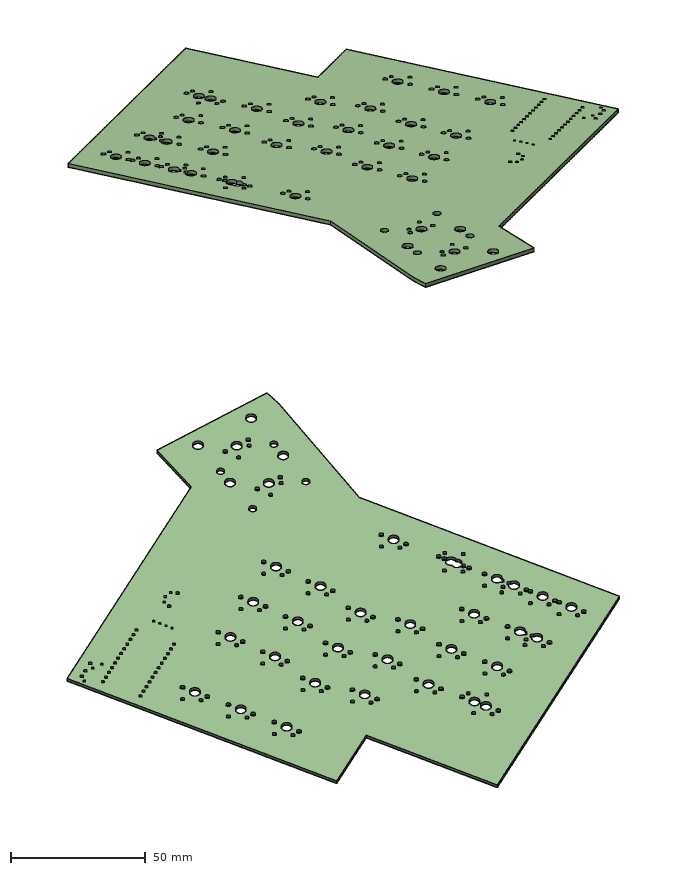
import cadquery as cq
import math

LENGTH = 185.1
WIDTH = 156.8
THICKNESS = 1.6

LEFT = -LENGTH / 2
RIGHT = LENGTH / 2
TOP = WIDTH / 2
BOTTOM = -WIDTH / 2
NOTCH_X = -38.3
NOTCH_Y = 53.7
MAIN_RIGHT = 73.3
MAIN_BOTTOM = -48.3
THUMB_TOP = (MAIN_RIGHT, -25.2)
THUMB_TIP = (RIGHT, -35.4)
THUMB_FOOT = (68.3, BOTTOM)
THUMB_BEND = (62.0, -75.7)
THUMB_START = (15.2, MAIN_BOTTOM)

KEY_PITCH = 95.0 / 5
FIRST_COLUMN_X = -67.0
HOME_ROW_Y = 2.2
COLUMN_STAGGERS = (0.0, 0.0, 15.0, 18.1, 13.3, 12.2)
TOP_ROW_Y = 63.1
TOP_ROW_COLUMNS = (3, 4, 5)
STAGGERED_ROWS = (-1, 0, 1)
TURNED_KEY = (0, 1)
HALF_TURN = 180

BOTTOM_ROW = -2
BOTTOM_ROW_PLACES = (-0.625, 0, 0.625, 1, 1.875, 3.25)
BOTTOM_ROW_TURNED_PLACE = 2

WIDE_KEYS = ((1, -0.25), (-1, -0.375))

STEM_DIAMETER = 4.0
SIDE_PEG_DIAMETER = 1.75
SWITCH_PIN_DIAMETER = 1.46
PIN_GRID = 1.28
SIDE_PEG_OFFSET = 4 * PIN_GRID
SWITCH_PINS = ((-3 * PIN_GRID, 2 * PIN_GRID), (2 * PIN_GRID, 4 * PIN_GRID))

THUMB_KEYS = ((48.3, -39.6), (67.0, -50.5))
THUMB_ANGLE = 60
STABILIZER_REACH = 11.8
WIRE_HOLE_DIAMETER = 3.0
WIRE_HOLE_OFFSET = 7.0
CLIP_HOLE_DIAMETER = 4.0
CLIP_HOLE_OFFSET = -8.1

HEADER_PITCH = 28.0 / 11
CONTROLLER_PIN_COUNT = 12
CONTROLLER_PIN_DIAMETER = 1.1
CONTROLLER_COLUMNS = (45.2, 60.7)
CONTROLLER_BOTTOM_Y = 45.9
DISPLAY_PIN_COUNT = 4
DISPLAY_PIN_DIAMETER = 0.81
DISPLAY_START = (49.2, 39.2)

JACK_PIN_DIAMETER = 1.3
JACK_PIN_X = 68.9
JACK_PIN_YS = (75.0, 72.0, 68.0)
JACK_PEG_DIAMETER = 0.98
JACK_PEG_X = 67.0
JACK_PEG_YS = (76.6, 69.6)
JACK_SLEEVE_PIN = (64.8, 66.5)
JACK_SLEEVE_DIAMETER = 0.98

RESET_Y = 26.7
RESET_PEG_DIAMETER = 1.3
RESET_PEG_X = 55.0
RESET_PEG_OFFSET = 3.5
RESET_PIN_DIAMETER = 0.98
RESET_PIN_X = 57.4
RESET_PIN_OFFSET = 2.5
RESET_MIDDLE_X = 58.3
RESET_MIDDLE_DIAMETER = 1.1


def make_board():
    outline = [
        (LEFT, MAIN_BOTTOM),
        (LEFT, NOTCH_Y),
        (NOTCH_X, NOTCH_Y),
        (NOTCH_X, TOP),
        (MAIN_RIGHT, TOP),
        THUMB_TOP,
        THUMB_TIP,
        THUMB_FOOT,
        THUMB_BEND,
        THUMB_START,
    ]
    return cq.Workplane("XY").polyline(outline).close().extrude(THICKNESS)


def drill(points, diameter):
    """Cylinders through the board at the given points, ready to be cut away."""
    cylinders = cq.Workplane("XY").pushPoints(points).circle(diameter / 2).extrude(THICKNESS)
    return cylinders.vals()


def turned(offsets, centre, angle):
    """Points at local offsets from a centre, turned by an angle in degrees."""
    cosine = math.cos(math.radians(angle))
    sine = math.sin(math.radians(angle))
    return [
        (centre[0] + x * cosine - y * sine, centre[1] + x * sine + y * cosine)
        for x, y in offsets
    ]


def switch_holes(centre, angle=0):
    side_pegs = [(-SIDE_PEG_OFFSET, 0), (SIDE_PEG_OFFSET, 0)]
    return (
        drill([centre], STEM_DIAMETER)
        + drill(turned(side_pegs, centre, angle), SIDE_PEG_DIAMETER)
        + drill(turned(SWITCH_PINS, centre, angle), SWITCH_PIN_DIAMETER)
    )


def stabilizer_holes(centre, angle):
    ends = (-STABILIZER_REACH, STABILIZER_REACH)
    wire_holes = [(x, WIRE_HOLE_OFFSET) for x in ends]
    clip_holes = [(x, CLIP_HOLE_OFFSET) for x in ends]
    return (
        drill(turned(wire_holes, centre, angle), WIRE_HOLE_DIAMETER)
        + drill(turned(clip_holes, centre, angle), CLIP_HOLE_DIAMETER)
    )


def place_x(place):
    """X at a distance from the first column, in key pitches; whole distances are columns."""
    return FIRST_COLUMN_X + place * KEY_PITCH


def row_y(row):
    """Y of a row of the unstaggered columns, counted upward from the home row."""
    return HOME_ROW_Y + row * KEY_PITCH


def main_key_holes():
    holes = []
    for column, stagger in enumerate(COLUMN_STAGGERS):
        for row in STAGGERED_ROWS:
            angle = HALF_TURN if (column, row) == TURNED_KEY else 0
            holes += switch_holes((place_x(column), row_y(row) + stagger), angle)
    for column in TOP_ROW_COLUMNS:
        holes += switch_holes((place_x(column), TOP_ROW_Y))
    return holes


def bottom_row_holes():
    y = row_y(BOTTOM_ROW)
    holes = switch_holes((place_x(BOTTOM_ROW_TURNED_PLACE), y), HALF_TURN)
    for place in BOTTOM_ROW_PLACES:
        holes += switch_holes((place_x(place), y))
    return holes


def wide_key_holes():
    holes = []
    for row, shift in WIDE_KEYS:
        holes += switch_holes((place_x(shift), row_y(row)))
    return holes


def thumb_key_holes():
    holes = []
    for centre in THUMB_KEYS:
        holes += switch_holes(centre, THUMB_ANGLE)
        holes += stabilizer_holes(centre, THUMB_ANGLE)
    return holes


def header_holes():
    controller = [
        (x, CONTROLLER_BOTTOM_Y + i * HEADER_PITCH)
        for x in CONTROLLER_COLUMNS
        for i in range(CONTROLLER_PIN_COUNT)
    ]
    display_x, display_y = DISPLAY_START
    display = [(display_x + i * HEADER_PITCH, display_y) for i in range(DISPLAY_PIN_COUNT)]
    return drill(controller, CONTROLLER_PIN_DIAMETER) + drill(display, DISPLAY_PIN_DIAMETER)


def jack_holes():
    return (
        drill([(JACK_PIN_X, y) for y in JACK_PIN_YS], JACK_PIN_DIAMETER)
        + drill([(JACK_PEG_X, y) for y in JACK_PEG_YS], JACK_PEG_DIAMETER)
        + drill([JACK_SLEEVE_PIN], JACK_SLEEVE_DIAMETER)
    )


def reset_switch_holes():
    pegs = [(RESET_PEG_X, RESET_Y + side * RESET_PEG_OFFSET) for side in (-1, 1)]
    pins = [(RESET_PIN_X, RESET_Y + side * RESET_PIN_OFFSET) for side in (-1, 1)]
    return (
        drill(pegs, RESET_PEG_DIAMETER)
        + drill(pins, RESET_PIN_DIAMETER)
        + drill([(RESET_MIDDLE_X, RESET_Y)], RESET_MIDDLE_DIAMETER)
    )


all_holes = (
    main_key_holes()
    + bottom_row_holes()
    + wide_key_holes()
    + thumb_key_holes()
    + header_holes()
    + jack_holes()
    + reset_switch_holes()
)
result = cq.Workplane("XY").newObject([make_board().val().cut(*all_holes)])